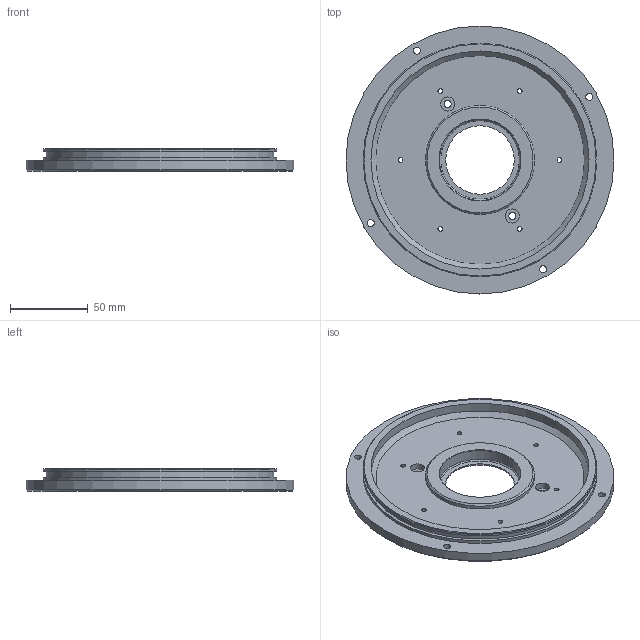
import cadquery as cq

flange_radius = 86.0
flange_thickness = 7.0
flange_bottom_chamfer = 1.0

total_height = 14.5
rim_radius = 75.0
rim_top_chamfer = 0.5
groove_radius = 73.0
groove_bottom_z = 9.0
groove_top_z = 12.8

recess_radius = 70.0
recess_corner = 3.0
floor_z = 5.75

hub_radius = 35.0
hub_height = 3.25
hub_chamfer = 1.0
hub_top_z = floor_z + hub_height
seat_radius = 26.0
seat_mouth_chamfer = 0.3
seat_corner = 0.75
seat_floor_z = 1.0
bore_radius = 22.0

flange_hole_circle_radius = 81.0
flange_hole_diameter = 4.5
flange_hole_count = 4
flange_hole_start_angle = 30.0

floor_hole_circle_radius = 51.0
floor_hole_diameter = 3.0
floor_hole_count = 6

screw_circle_radius = 41.5
screw_hole_diameter = 4.5
screw_head_diameter = 9.0
screw_head_depth = 4.0
screw_count = 2
screw_start_angle = 120.0


def revolved_body():
    """Disc turned about Z from its half section, given as (radius, z) points."""
    outer_side = [
        (bore_radius, 0),
        (flange_radius - flange_bottom_chamfer, 0),
        (flange_radius, flange_bottom_chamfer),
        (flange_radius, flange_thickness),
        (rim_radius, flange_thickness),
        (rim_radius, groove_bottom_z),
        (groove_radius, groove_bottom_z),
        (groove_radius, groove_top_z),
        (rim_radius, groove_top_z),
        (rim_radius, total_height - rim_top_chamfer),
        (rim_radius - rim_top_chamfer, total_height),
    ]
    recess_side = [
        (recess_radius, total_height),
        (recess_radius, floor_z + recess_corner),
        (recess_radius - recess_corner, floor_z),
        (hub_radius, floor_z),
    ]
    hub_side = [
        (hub_radius, hub_top_z - hub_chamfer),
        (hub_radius - hub_chamfer, hub_top_z),
        (seat_radius + seat_mouth_chamfer, hub_top_z),
        (seat_radius, hub_top_z - seat_mouth_chamfer),
        (seat_radius, seat_floor_z + seat_corner),
        (seat_radius - seat_corner, seat_floor_z),
        (bore_radius, seat_floor_z),
    ]
    section = cq.Workplane("XZ").polyline(outer_side + recess_side + hub_side).close()
    return section.revolve(360, (0, 0, 0), (0, 1, 0))


def hole_ring(circle_radius, start_angle, count, diameter, bottom_z, top_z):
    """Cylinders evenly spaced on a circle, used as cutters."""
    return (
        cq.Workplane("XY")
        .workplane(offset=bottom_z)
        .polarArray(circle_radius, start_angle, 360, count)
        .circle(diameter / 2)
        .extrude(top_z - bottom_z)
    )


def flange_holes():
    return hole_ring(
        flange_hole_circle_radius, flange_hole_start_angle, flange_hole_count,
        flange_hole_diameter, 0, flange_thickness,
    )


def floor_holes():
    return hole_ring(
        floor_hole_circle_radius, 0, floor_hole_count, floor_hole_diameter, 0, floor_z,
    )


def counterbored_holes():
    shanks = hole_ring(
        screw_circle_radius, screw_start_angle, screw_count, screw_hole_diameter, 0, floor_z,
    )
    heads = hole_ring(
        screw_circle_radius, screw_start_angle, screw_count,
        screw_head_diameter, floor_z - screw_head_depth, floor_z,
    )
    return shanks.union(heads)


result = revolved_body().cut(flange_holes()).cut(floor_holes()).cut(counterbored_holes())